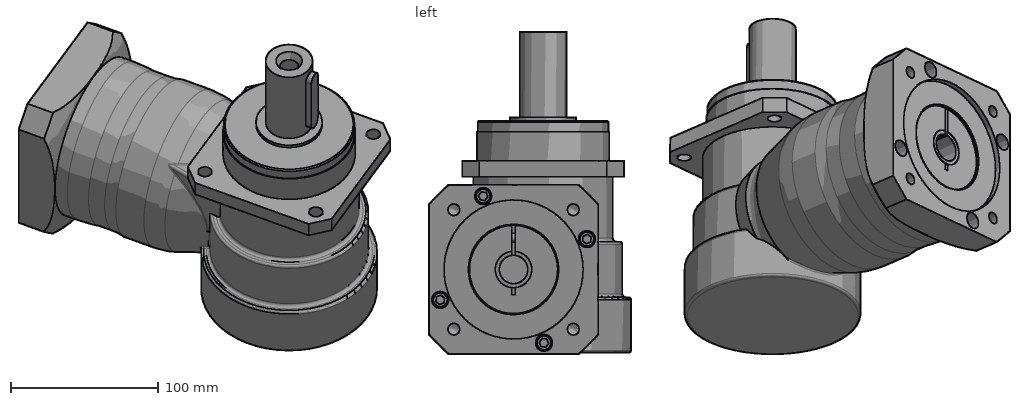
import cadquery as cq
import math

select_margin = 0.2

base_radius = 60.0
base_bottom = 1.0
base_top = 38.5
ring_radius = 54.0
ring_top = 76.5
body_radius = 47.5
root_fillet = 2.5
rim_fillet = 1.7

flange_bottom = 120.5
flange_top = 131.5
flange_side = 110.1
flange_corner = 11.6
flange_hole_pitch = 85.0
flange_hole_radius = 4.7

pilot_radius = 45.0
pilot_step_radius = 44.5
pilot_step_bottom = 151.0
pilot_top = 158.6
pilot_chamfer = 1.0
collar_radius = 22.5
collar_top = 160.9

shaft_diameter = 32.0
shaft_top = 219.0
center_mouth_radius = 9.0
center_drill_radius = 6.2
center_cone_depth = 5.0
center_drill_depth = 19.8
key_width = 10.0
key_reach = 19.5
key_bottom = 165.0
key_top = 214.8

plate_side = 115.0
plate_corner = 13.0
motor_y = 20.0
motor_z = plate_side / 2
overall_length = 247.5
plate_face_x = base_radius - overall_length
corner_end_x = -168.0
corner_end_radius = 72.3
corner_mid_x = -163.5
corner_mid_radius = 66.3
barrel_start_x = -160.0
barrel_radius = 57.2
neck_radius = 56.0
neck_entry_x = -150.7
neck_start_x = -135.1
neck_end_x = -122.8
neck_exit_x = -113.5
shoulder_start_x = -92.0
shoulder_end_x = -77.2
cone_angle = math.radians(17.5)
notch_start_x = -body_radius
notch_mid_x = -43.0
notch_mid_radius = 41.8
notch_end_x = -33.2
cone_end_x = -19.8

gusset_top = 99.5
gusset_angle = math.radians(12)
gusset_start_x = -99.0
gusset_start_y = -15.3
gusset_end_x = -24.8
gusset_edge_fillet = 2.2
gusset_root_y_end = -2.5
gusset_root_fillet = 1.5
housing_root_fillet = 1.0

recess_radius = 47.3
recess_depth = 4.0
hub_pocket_radius = 30.7
hub_pocket_depth = 1.0
hub_radius = 30.0
hub_gap_depth = 0.5
bore_radius = 12.4
bore_depth = 0.2
inner_bore_radius = 9.7
inner_bore_depth = 34.6
slit_width = 2.2
slit_depth = 19.8
hub_notch_reach = 17.0
clamp_screw_radius = 3.0
clamp_screw_offset = 21.5
clamp_screw_depth = 7.5
plate_hole_pitch = 81.2
plate_hole_radius = 4.0
plate_hole_depth = 14.8
screw_circle_radius = 54.0
screw_first_angle = 22.5
screw_bore_radius = 5.7
screw_bore_depth = 17.3
screw_head_radius = 4.7
screw_head_height = 5.0
screw_socket_size = 6.5
screw_socket_depth = 2.5
drill_tip_ratio = 0.6


def disc(radius, bottom, top):
    """Cylinder on the output axis."""
    return cq.Workplane("XY").workplane(offset=bottom).circle(radius).extrude(top - bottom)


def box_between(x_range, y_range, z_range, whole_edge=False):
    """Selector for the edges whose centres, or whole lengths, lie inside a box."""
    return cq.selectors.BoxSelector(*zip(x_range, y_range, z_range), boundingbox=whole_edge)


def motor_plane(x):
    """Plane across the motor axis with its local X along -Y, its local Y up and its normal along -X."""
    return cq.Workplane(cq.Plane(origin=(x, motor_y, motor_z), xDir=(0, -1, 0), normal=(-1, 0, 0)))


def drilled_holes(plane, points, radius, depth):
    """Blind holes with a conical tip, sunk against the plane's normal."""
    profile = (
        cq.Workplane("XZ")
        .polyline([(0, 0), (radius, 0), (radius, -depth), (0, -depth - radius * drill_tip_ratio)])
        .close()
        .revolve(360, (0, 0), (0, 1))
        .val()
    )
    return plane.pushPoints(points).eachpoint(lambda place: profile.moved(place), True)


def square_points(pitch):
    half = pitch / 2
    return [(x, y) for x in (-half, half) for y in (-half, half)]


def make_column():
    """Base, ring and body, with filleted roots and rims."""
    base = disc(base_radius, base_bottom, base_top).edges().fillet(rim_fillet)
    ring = disc(ring_radius, base_bottom + rim_fillet, ring_top).faces(">Z").edges().fillet(rim_fillet)
    body = disc(body_radius, base_bottom + rim_fillet, flange_bottom)
    column = base.union(ring).union(body)
    for radius, level in ((ring_radius, base_top), (body_radius, ring_top)):
        span = (-radius - select_margin, radius + select_margin)
        heights = (level - select_margin, level + select_margin)
        column = column.edges(box_between(span, span, heights, whole_edge=True)).fillet(root_fillet)
    return column


def make_output_flange():
    flange = (
        cq.Workplane("XY")
        .workplane(offset=flange_bottom)
        .rect(flange_side, flange_side)
        .extrude(flange_top - flange_bottom)
        .edges("|Z")
        .chamfer(flange_corner)
    )
    holes = (
        cq.Workplane("XY")
        .workplane(offset=flange_bottom)
        .pushPoints(square_points(flange_hole_pitch))
        .circle(flange_hole_radius)
        .extrude(flange_top - flange_bottom)
    )
    return flange.cut(holes)


def make_pilot():
    step = disc(pilot_step_radius, flange_top, pilot_top).faces(">Z").edges().chamfer(pilot_chamfer)
    return (
        disc(pilot_radius, flange_top, pilot_step_bottom)
        .union(step)
        .union(disc(collar_radius, flange_top, collar_top))
    )


def make_shaft():
    """Shaft with a round-ended key on +X and a conical centre hole in the end."""
    key = (
        cq.Workplane("YZ")
        .center(0, (key_bottom + key_top) / 2)
        .slot2D(key_top - key_bottom, key_width, 90)
        .extrude(key_reach)
    )
    tip_depth = center_drill_depth + center_drill_radius * drill_tip_ratio
    center_hole = (
        cq.Workplane("XZ")
        .moveTo(0, shaft_top)
        .lineTo(center_mouth_radius, shaft_top)
        .lineTo(center_drill_radius, shaft_top - center_cone_depth)
        .lineTo(center_drill_radius, shaft_top - center_drill_depth)
        .lineTo(0, shaft_top - tip_depth)
        .close()
        .revolve(360, (0, 0), (0, 1))
    )
    return disc(shaft_diameter / 2, flange_top, shaft_top).union(key).cut(center_hole)


def make_motor_housing():
    """Square plate blending into a necked barrel that tapers into the body."""
    shoulder_length = shoulder_end_x - shoulder_start_x
    shoulder_radius = shoulder_length / math.sin(cone_angle)
    cone_start_radius = barrel_radius - shoulder_radius * (1 - math.cos(cone_angle))

    def cone_radius(x):
        return cone_start_radius - (x - shoulder_end_x) * math.tan(cone_angle)

    turned = (
        cq.Workplane("XY")
        .moveTo(plate_face_x, 0)
        .lineTo(plate_face_x, plate_side)
        .lineTo(corner_end_x, plate_side)
        .lineTo(corner_end_x, corner_end_radius)
        .threePointArc((corner_mid_x, corner_mid_radius), (barrel_start_x, barrel_radius))
        .lineTo(neck_entry_x, barrel_radius)
        .tangentArcPoint((neck_start_x, neck_radius), relative=False)
        .lineTo(neck_end_x, neck_radius)
        .tangentArcPoint((neck_exit_x, barrel_radius), relative=False)
        .lineTo(shoulder_start_x, barrel_radius)
        .tangentArcPoint((shoulder_end_x, cone_start_radius), relative=False)
        .lineTo(notch_start_x, cone_radius(notch_start_x))
        .threePointArc((notch_mid_x, notch_mid_radius), (notch_end_x, cone_radius(notch_end_x)))
        .lineTo(cone_end_x, cone_radius(cone_end_x))
        .lineTo(cone_end_x, 0)
        .close()
        .revolve(360, (0, 0), (1, 0))
        .translate((0, motor_y, motor_z))
    )
    envelope = (
        motor_plane(cone_end_x)
        .rect(plate_side, plate_side)
        .extrude(cone_end_x - plate_face_x)
        .edges("|X")
        .chamfer(plate_corner)
    )
    return turned.intersect(envelope)


def make_gusset():
    """Block with a slanted upright wall, starting inside the barrel and ending inside the body."""
    end_y = gusset_start_y - (gusset_end_x - gusset_start_x) * math.tan(gusset_angle)
    wall_start = (gusset_start_x, gusset_start_y)
    wall_end = (gusset_end_x, end_y)
    return (
        cq.Workplane("XY")
        .workplane(offset=motor_z)
        .polyline([(gusset_start_x, 0), wall_start, wall_end, (gusset_end_x, 0)])
        .close()
        .extrude(gusset_top - motor_z)
        .faces("<Y")
        .edges(">Z")
        .fillet(gusset_edge_fillet)
    )


def cut_motor_face(part):
    """Recess, clamping hub with bore and slit, drilled holes and sunk screws."""
    face = motor_plane(plate_face_x)
    recess_floor = motor_plane(plate_face_x + recess_depth)
    hub_x = plate_face_x + recess_depth + hub_pocket_depth
    hub_face = motor_plane(hub_x)

    part = part.cut(face.circle(recess_radius).extrude(-recess_depth))
    part = part.cut(recess_floor.circle(hub_pocket_radius).extrude(-hub_pocket_depth))
    part = part.cut(hub_face.circle(hub_pocket_radius).circle(hub_radius).extrude(-hub_gap_depth))
    part = part.cut(hub_face.circle(bore_radius).extrude(-bore_depth))
    part = part.cut(hub_face.circle(inner_bore_radius).extrude(-inner_bore_depth))

    slit = hub_face.center(0, hub_radius / 2).rect(slit_width, hub_radius).extrude(-slit_depth)
    notch_height = hub_notch_reach - bore_radius
    notch_middle = (hub_notch_reach + bore_radius) / 2
    hub_notch = hub_face.center(0, -notch_middle).rect(slit_width, notch_height).extrude(-slit_depth)
    clamp_screw = (
        cq.Workplane("XZ", origin=(hub_x + clamp_screw_depth, motor_y, motor_z + clamp_screw_offset))
        .circle(clamp_screw_radius)
        .extrude(slit_width / 2, both=True)
    )
    part = part.cut(slit).cut(hub_notch).union(clamp_screw)

    part = part.cut(drilled_holes(face, square_points(plate_hole_pitch), plate_hole_radius, plate_hole_depth))

    def at_screws(plane):
        return plane.polarArray(screw_circle_radius, screw_first_angle, 360, 4)

    head_floor = motor_plane(plate_face_x + screw_bore_depth)
    head_top = motor_plane(plate_face_x + screw_bore_depth - screw_head_height)
    part = part.cut(at_screws(face).circle(screw_bore_radius).extrude(-screw_bore_depth))
    part = part.union(at_screws(head_floor).circle(screw_head_radius).extrude(screw_head_height))
    return part.cut(at_screws(head_top).polygon(6, screw_socket_size).extrude(-screw_socket_depth))


def fillet_gusset_root(part):
    """Fillet where the gusset's wall and top meet the barrel and the cone."""
    x_range = (gusset_start_x, notch_start_x - select_margin)
    y_range = (motor_y - barrel_radius, gusset_root_y_end)
    z_range = (motor_z + select_margin, gusset_top + select_margin)
    return part.edges(box_between(x_range, y_range, z_range)).edges("not %LINE").fillet(gusset_root_fillet)


def fillet_housing_root(part):
    """Fillet where the cone meets the base and the ring, below the gusset."""
    x_range = (-base_radius, notch_start_x)
    y_range = (motor_y - barrel_radius, base_radius)
    z_range = (base_bottom + root_fillet, motor_z - select_margin)
    roots = part.edges(box_between(x_range, y_range, z_range))
    return roots.edges("not (%LINE or %CIRCLE)").fillet(housing_root_fillet)


motor_side = fillet_gusset_root(make_motor_housing().union(make_gusset()))
housing = fillet_housing_root(make_column().union(motor_side))
output_end = make_output_flange().union(make_pilot()).union(make_shaft())
result = cut_motor_face(housing.union(output_end))